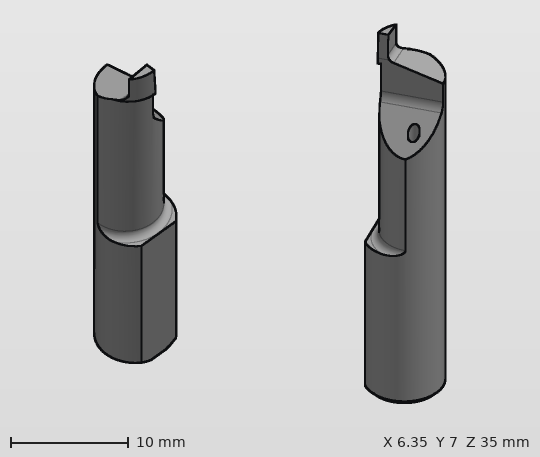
import cadquery as cq
import math

total_length = 35.0
shank_radius = 3.5
shank_top = 15.05
flat_x = 2.85
foot_chamfer = 0.52

neck_radius = 3.3
neck_centre_x = -1.22
shoulder_fillet = 0.7

face_y = 0.1
runout_z = 28.77
runout_angle = 50.0
runout_fillet = 1.4
rake_start_z = 32.55
rake_depth = 0.15

tooth_bottom = 32.0
tooth_inner_x = 1.45
tooth_reach_x = 2.35
tooth_radius = 3.3
top_slope = 15.0
top_low_z = 31.15
root_fillet = 0.7
slope_relief = 3.5
tip_relief = 7.0

hole_diameter = 1.0
hole_x = -1.45
hole_y = 1.8

margin = 1.75
cutter_width = 4 * shank_radius


def cylinder(radius, x, y, bottom, top):
    """Upright cylinder centred at (x, y)."""
    return cq.Workplane("XY", origin=(x, y, bottom)).circle(radius).extrude(top - bottom)


def make_shank():
    shank = cylinder(shank_radius, 0, 0, 0, shank_top + shoulder_fillet)
    shank = shank.faces("<Z").chamfer(foot_chamfer)
    flat_cutter = cq.Workplane("XY").box(
        shank_radius, cutter_width, 2 * total_length, centered=(False, True, True)
    )
    return shank.cut(flat_cutter.translate((flat_x, 0, 0)))


def make_shoulder_cutter():
    """Ring around the neck circle whose lower inner edge leaves a concave fillet."""
    fillet_top = shank_top + shoulder_fillet
    outer = neck_radius + shank_radius
    mid = shoulder_fillet * (1 - math.sqrt(0.5))
    profile = (
        cq.Workplane("XZ")
        .moveTo(neck_radius, fillet_top)
        .threePointArc((neck_radius + mid, shank_top + mid), (neck_radius + shoulder_fillet, shank_top))
        .lineTo(outer, shank_top)
        .lineTo(outer, fillet_top)
        .close()
    )
    return profile.revolve(360, (0, 0, 0), (0, 1, 0)).translate((neck_centre_x, 0, 0))


def make_neck():
    neck = cylinder(neck_radius, neck_centre_x, 0, shank_top, total_length)
    return neck.intersect(cylinder(shank_radius, 0, 0, 0, total_length))


def make_tooth():
    """Part of an offset cylinder that overhangs the neck on +X."""
    tooth = cylinder(tooth_radius, tooth_reach_x - tooth_radius, face_y, tooth_bottom, total_length)
    plus_x_half = cq.Workplane("XY").box(
        shank_radius, cutter_width, 2 * total_length, centered=(False, True, True)
    )
    return tooth.intersect(plus_x_half)


def make_face_cutter():
    """Everything behind the cutting face, above the sloping run-out."""
    far_y = shank_radius + margin
    far_z = runout_z - (far_y - face_y) * math.tan(math.radians(runout_angle))
    top = total_length + margin
    cutter = (
        cq.Workplane("YZ")
        .polyline([(face_y, runout_z), (face_y, top), (far_y, top), (far_y, far_z)])
        .close()
        .extrude(cutter_width / 2, both=True)
    )
    corner = cq.selectors.NearestToPointSelector((0, face_y, runout_z))
    return cutter.edges("|X").edges(corner).fillet(runout_fillet)


def make_rake_cutter():
    """Thin wedge that leans the cutting face back toward the tip."""
    return (
        cq.Workplane("YZ")
        .polyline([
            (face_y, rake_start_z),
            (face_y, total_length),
            (face_y - rake_depth, total_length),
        ])
        .close()
        .extrude(cutter_width / 2, both=True)
    )


def tilt_for_relief(cutter, angle):
    """Lean a cutter about the tip's leading edge so that it dips toward -Y."""
    tip_y = face_y - rake_depth
    return cutter.rotate((0, tip_y, total_length), (1, tip_y, total_length), angle)


def make_slope_cutter():
    """Space above the sloping top, bounded by the inner wall of the tooth."""
    left_x = -shank_radius - margin
    top = total_length + margin
    rise = math.tan(math.radians(top_slope))
    root_z = top_low_z + (tooth_inner_x + shank_radius) * rise
    cutter = (
        cq.Workplane("XZ", origin=(0, cutter_width / 2, 0))
        .polyline([
            (left_x, top_low_z - margin * rise),
            (tooth_inner_x, root_z),
            (tooth_inner_x, top),
            (left_x, top),
        ])
        .close()
        .extrude(cutter_width)
    )
    root = cq.selectors.NearestToPointSelector((tooth_inner_x, 0, root_z))
    cutter = cutter.edges("|Y").edges(root).fillet(root_fillet)
    return tilt_for_relief(cutter, slope_relief)


def make_tip_cutter():
    """Space above the tip of the tooth."""
    block = cq.Workplane("XY").box(cutter_width, cutter_width, margin, centered=(True, True, False))
    return tilt_for_relief(block.translate((0, 0, total_length)), tip_relief)


result = (
    make_shank()
    .cut(make_shoulder_cutter())
    .union(make_neck())
    .union(make_tooth())
    .cut(make_face_cutter())
    .cut(make_rake_cutter())
    .cut(make_slope_cutter())
    .cut(make_tip_cutter())
    .cut(cylinder(hole_diameter / 2, hole_x, hole_y, -margin, total_length))
)